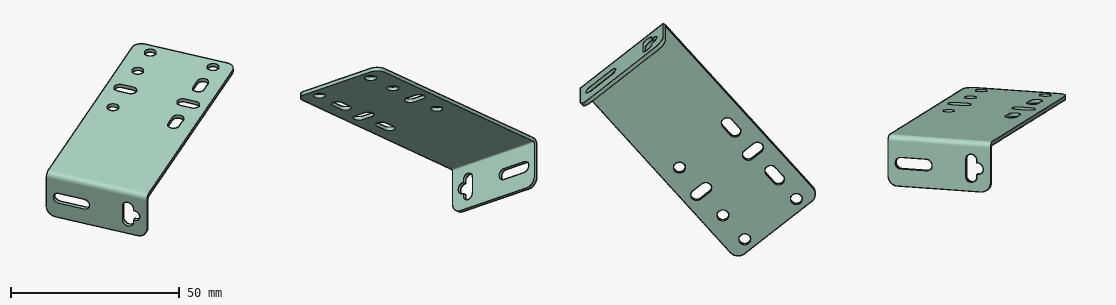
import cadquery as cq

width = 32.0
length = 72.0
height = 15.2

thickness = 1.2
bend_inner_radius = 0.5
bend_outer_radius = bend_inner_radius + thickness
corner_radius = 3.0

hole_diameter = 3.5
hole_radius = hole_diameter / 2

column_x = 10.0
first_row_inset = 3.5
row_pitch = 10.0
plate_slot_length = 7.0

flange_opening_rise = 7.0
flange_opening_reach = 12.0
long_slot_length = 11.5
tall_slot_x = column_x
tall_slot_length = 8.5

plate_bottom = height - thickness


def row_y(row):
    """Y position of a row of plate holes, row 0 being nearest the free end."""
    return length - first_row_inset - row * row_pitch


def make_bent_sheet():
    """L-shaped sheet with a rounded bend, extruded across the width."""
    profile = (
        cq.Workplane("YZ")
        .moveTo(0, 0)
        .lineTo(0, height - bend_outer_radius)
        .radiusArc((bend_outer_radius, height), bend_outer_radius)
        .lineTo(length, height)
        .lineTo(length, plate_bottom)
        .lineTo(bend_outer_radius, plate_bottom)
        .radiusArc((thickness, height - bend_outer_radius), -bend_inner_radius)
        .lineTo(thickness, 0)
        .close()
    )
    return profile.extrude(width / 2, both=True)


def round_free_corners(sheet):
    """Round the two corners of the plate end and the two of the flange edge."""
    sheet = sheet.faces(">Y").edges("|Z").fillet(corner_radius)
    return sheet.faces("<Z").edges("|Y").fillet(corner_radius)


def on_plate(points):
    """Workplane on the plate underside with the given (x, y) points."""
    return cq.Workplane("XY", origin=(0, 0, plate_bottom)).pushPoints(points)


def plate_openings():
    """Round holes and slots through the plate."""
    round_holes = [(-column_x, row_y(row)) for row in (0, 1, 3)]
    round_holes.append((column_x, row_y(0)))
    cross_slots = [(-column_x, row_y(2)), (column_x, row_y(2))]
    lengthwise_slots = [(column_x, row_y(1)), (column_x, row_y(3))]

    holes = on_plate(round_holes).circle(hole_radius).extrude(thickness)
    across = on_plate(cross_slots).slot2D(plate_slot_length, hole_diameter, 0).extrude(thickness)
    along = on_plate(lengthwise_slots).slot2D(plate_slot_length, hole_diameter, 90).extrude(thickness)
    return holes.add(across).add(along).combine()


def flange_slot(center_x, slot_length, angle):
    """Slot cutter through the flange thickness."""
    plane = cq.Workplane("XZ", origin=(center_x, 0, flange_opening_rise))
    return plane.slot2D(slot_length, hole_diameter, angle).extrude(-thickness)


def flange_openings():
    """Long slot, plus a tall slot with a side lobe that makes the T shape."""
    long_slot_x = -flange_opening_reach - hole_radius + long_slot_length / 2
    long_slot = flange_slot(long_slot_x, long_slot_length, 0)

    tall_slot = flange_slot(tall_slot_x, tall_slot_length, 90)
    lobe_travel = flange_opening_reach - tall_slot_x
    lobe = flange_slot(tall_slot_x + lobe_travel / 2, lobe_travel + hole_diameter, 0)
    return long_slot.union(tall_slot.union(lobe))


bracket = round_free_corners(make_bent_sheet())
result = bracket.cut(plate_openings()).cut(flange_openings())